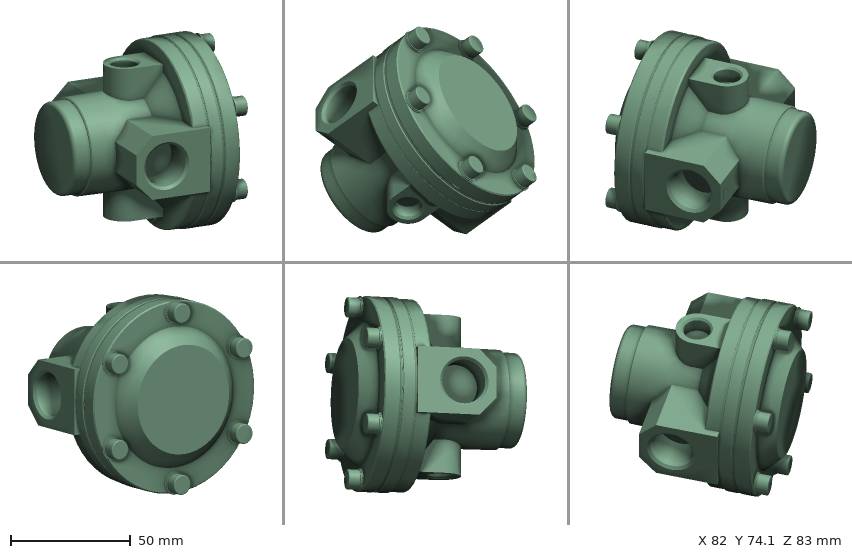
import cadquery as cq
import math


cap_end_y = -32.95
neck_end_y = -25.2
cone_small_y = 4.9
body_flange_y = 13.6
body_flange_back_y = 20.1
plate_front_y = 21.0
plate_back_y = 26.2
cover_front_y = 27.2
cover_back_y = 34.3
dome_end_y = 41.1

cap_radius = 40.0 / 2
cap_round = 2.0
neck_end_radius = 21.0
neck_root_radius = 21.5
neck_chamfer = 0.5
cone_large_radius = 31.3
body_flange_radius = 81.0 / 2
body_flange_round = 0.8
gasket_radius = 80.7 / 2
plate_radius = 82.0 / 2
plate_chamfer = 0.25
plate_shoulder = 0.4
cover_chamfer = 0.5
dome_end_radius = 23.2
dome_base_radius = dome_end_radius + dome_end_y - cover_back_y

block_length = 2 * plate_radius
block_height = 28.05
block_front_y = -13.95
block_chamfer = 7.5
port_bore = 18.6
port_mouth = 20.9
port_depth = 14.9

boss_radius = 9.0
boss_reach = 33.5
gauge_bore = 11.45
gauge_mouth = 13.3
gauge_depth = 7.0

screw_count = 6
head_radius = 8.5 / 2
washer_radius = 10 / 2
spring_washer_radius = 4.65
overall_height = 83.0
bolt_circle_radius = overall_height / 2 - washer_radius
washer_thickness = 0.5
head_end_y = 40.3
head_round = 0.5

pin_radius = 5 / 2
pin_length = 1.25
pin_chamfer = 0.4

arrow_base_x = -38.0
arrow_length = 4.1
arrow_width = 5.0
arrow_height = 0.5


def cylinder_y(radius, start_y, end_y, x=0, z=0):
    """Cylinder parallel to Y between two stations."""
    base = cq.Plane(origin=(x, start_y, z), xDir=(1, 0, 0), normal=(0, 1, 0))
    return cq.Workplane(base).circle(radius).extrude(end_y - start_y)


def frustum_y(start_radius, start_y, end_radius, end_y):
    """Cone section around the Y axis."""
    profile = [(0, start_y), (start_radius, start_y), (end_radius, end_y), (0, end_y)]
    return cq.Workplane("XY").polyline(profile).close().revolve(360, (0, 0, 0), (0, 1, 0))


def make_turned_body():
    cap = cylinder_y(cap_radius, cap_end_y, neck_end_y).faces("<Y").edges().fillet(cap_round)
    neck = frustum_y(neck_end_radius, neck_end_y, neck_root_radius, cone_small_y)
    neck = neck.faces("<Y").edges().chamfer(neck_chamfer)
    cone = frustum_y(neck_root_radius, cone_small_y, cone_large_radius, body_flange_y)
    flange = cylinder_y(body_flange_radius, body_flange_y, body_flange_back_y)
    flange = flange.faces("<Y").edges().fillet(body_flange_round)
    return cap.union(neck).union(cone).union(flange)


def make_plate_and_cover():
    plate = cylinder_y(plate_radius, plate_front_y, plate_back_y)
    plate = plate.faces("<Y or >Y").edges().chamfer(plate_chamfer)
    shoulder_front_y = plate_front_y - plate_shoulder
    shoulder_back_y = plate_back_y + plate_shoulder
    shoulders = cylinder_y(body_flange_radius, shoulder_front_y, shoulder_back_y)
    gaskets = cylinder_y(gasket_radius, body_flange_back_y, cover_front_y)
    cover = cylinder_y(plate_radius, cover_front_y, cover_back_y)
    cover = cover.faces("<Y or >Y").edges().chamfer(cover_chamfer)
    dome = frustum_y(dome_base_radius, cover_back_y, dome_end_radius, dome_end_y)
    return plate.union(shoulders).union(gaskets).union(cover).union(dome)


def make_port_block():
    depth = body_flange_back_y - block_front_y
    block = cq.Workplane("XY").box(block_length, depth, block_height, centered=(True, False, True))
    block = block.translate((0, block_front_y, 0))
    return block.faces("<Y").edges("|X").chamfer(block_chamfer)


def make_gauge_bosses():
    height = 2 * boss_reach
    rounds = cq.Workplane("XY").circle(boss_radius).extrude(height)
    web = cq.Workplane("XY").box(2 * boss_radius, body_flange_back_y, height, centered=(True, False, False))
    return rounds.union(web).translate((0, 0, -boss_reach))


def make_port_cut(mouth_center, inward, bore, mouth, depth):
    """Blind bore with a 45 degree countersunk mouth."""
    countersink = (mouth - bore) / 2
    profile = [
        (0, 0),
        (mouth / 2, 0),
        (bore / 2, countersink),
        (bore / 2, depth),
        (0, depth),
    ]
    radial = cq.Vector(0, 1, 0)
    plane = cq.Plane(origin=mouth_center, xDir=radial, normal=radial.cross(cq.Vector(*inward)))
    return cq.Workplane(plane).polyline(profile).close().revolve(360, (0, 0, 0), (0, 1, 0))


def make_screw(x, z):
    washer_top_y = cover_back_y + washer_thickness
    washer = cylinder_y(washer_radius, cover_back_y, washer_top_y, x, z)
    spring_top_y = washer_top_y + washer_thickness
    spring_washer = cylinder_y(spring_washer_radius, washer_top_y, spring_top_y, x, z)
    head = cylinder_y(head_radius, spring_top_y, head_end_y, x, z)
    head = head.faces(">Y").edges().fillet(head_round)
    return washer.union(spring_washer).union(head)


def make_bottom_pin():
    """Screw end on the body flange, with its washer let into the cover's front edge."""
    pin = cylinder_y(pin_radius, body_flange_y - pin_length, body_flange_y, z=-bolt_circle_radius)
    pin = pin.faces("<Y").edges().chamfer(pin_chamfer)
    washer_start_y = cover_front_y + cover_chamfer
    washer_end_y = washer_start_y + washer_thickness
    washer = cylinder_y(washer_radius, washer_start_y, washer_end_y, z=-bolt_circle_radius)
    return pin.union(washer)


def make_flow_arrow():
    """Triangle on the block's front face, pointing along +X."""
    corners = [
        (arrow_base_x, -arrow_width / 2),
        (arrow_base_x + arrow_length, 0),
        (arrow_base_x, arrow_width / 2),
    ]
    arrow = cq.Workplane("XZ", origin=(0, block_front_y, 0)).polyline(corners).close()
    return arrow.extrude(arrow_height)


result = make_turned_body().union(make_plate_and_cover())
result = result.union(make_port_block()).union(make_gauge_bosses())

for index in range(screw_count):
    angle = math.radians(90 + index * 360 / screw_count)
    screw_x = bolt_circle_radius * math.cos(angle)
    screw_z = bolt_circle_radius * math.sin(angle)
    result = result.union(make_screw(screw_x, screw_z))

result = result.union(make_bottom_pin()).union(make_flow_arrow())

for side in (-1, 1):
    port_center = (side * block_length / 2, 0, 0)
    result = result.cut(make_port_cut(port_center, (-side, 0, 0), port_bore, port_mouth, port_depth))
    gauge_center = (0, 0, side * boss_reach)
    result = result.cut(make_port_cut(gauge_center, (0, 0, -side), gauge_bore, gauge_mouth, gauge_depth))